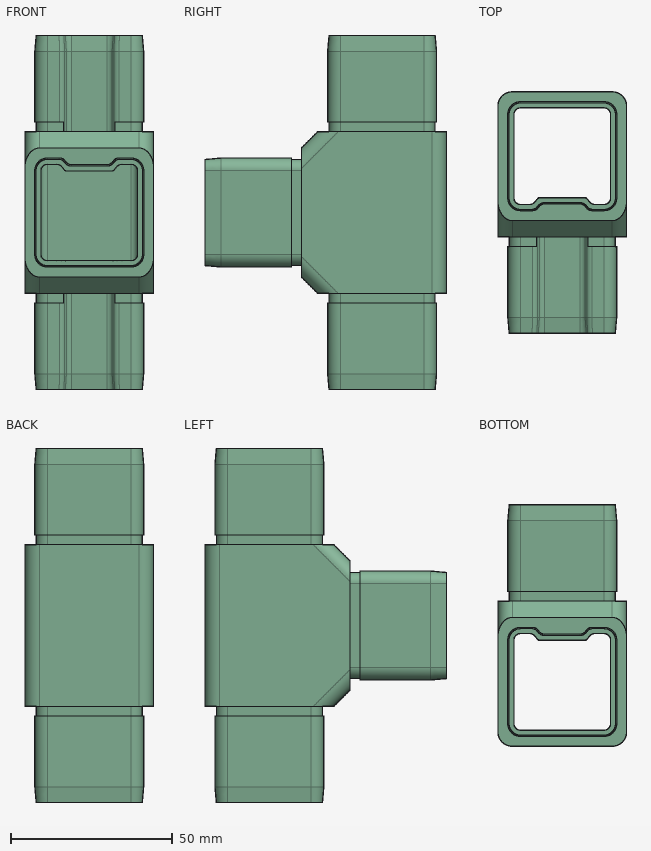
import cadquery as cq
import math


body_width = 40.0
run_half_length = 55.0
plug_length = 29.9
body_chamfer = 5.1
body_edge_radius = 4.5

plug_width = 33.9
plug_corner_radius = 4.0
wall = 2.0
tip_length = 5.0
tip_inset = 0.4
neck_length = 3.0
neck_inset = 0.4

groove_depth = 2.1
groove_mouth_half = 8.2
groove_floor_half = 6.5
groove_blend = 2.0

body_half_width = body_width / 2
body_half_height = run_half_length - plug_length
body_front = body_half_width + body_chamfer
groove_slope = math.atan2(groove_depth, groove_mouth_half - groove_floor_half)


def rounded_wire(plane, corners):
    """Closed outline through (x, y, radius) corners, each blended by an arc unless its radius is 0."""
    outline = cq.Workplane(plane)
    for i, (x, y, radius) in enumerate(corners):
        here = cq.Vector(x, y)
        before = (cq.Vector(*corners[i - 1][:2]) - here).normalized()
        after = (cq.Vector(*corners[(i + 1) % len(corners)][:2]) - here).normalized()
        half_angle = before.getAngle(after) / 2
        setback = radius / math.tan(half_angle)
        to_arc = radius / math.sin(half_angle) - radius
        start = here + before * setback
        middle = here + (before + after).normalized() * to_arc
        end = here + after * setback
        outline = outline.moveTo(start.x, start.y) if i == 0 else outline.lineTo(start.x, start.y)
        if radius > 0:
            outline = outline.threePointArc((middle.x, middle.y), (end.x, end.y))
    return outline.close()


def plug_outline(plane, inset, floor_radius):
    """Grooved square outline, offset inward by inset. The groove is on the plane's -y side."""
    half = plug_width / 2 - inset
    corner = plug_corner_radius - inset
    shift = inset * math.tan(groove_slope / 2)
    mouth = groove_mouth_half + shift
    floor = groove_floor_half + shift
    floor_y = groove_depth - half
    return rounded_wire(plane, [
        (half, half, corner),
        (-half, half, corner),
        (-half, -half, corner),
        (-mouth, -half, groove_blend),
        (-floor, floor_y, floor_radius),
        (floor, floor_y, floor_radius),
        (mouth, -half, groove_blend),
        (half, -half, corner),
    ])


def shifted(plane, distance):
    """The plane moved along its normal."""
    return cq.Plane(plane.origin + plane.zDir * distance, plane.xDir, plane.zDir)


def plug_shell(plane, base):
    """Outside of a plug standing on the body face at distance base from the part centre."""
    root = shifted(plane, base)
    tip_start = shifted(root, plug_length - tip_length)
    tip_end = shifted(root, plug_length)
    shank = plug_outline(root, 0, groove_blend).extrude(plug_length - tip_length)
    neck_width = plug_width - 2 * neck_inset
    neck_band = cq.Workplane(root).rect(body_width, body_width).extrude(neck_length)
    neck_core = (
        cq.Workplane(root).rect(neck_width, neck_width).extrude(neck_length)
        .edges(cq.selectors.ParallelDirSelector(plane.zDir)).fillet(plug_corner_radius - neck_inset)
    )
    tip_base = plug_outline(tip_start, 0, groove_blend)
    tip_rim = plug_outline(tip_end, tip_inset, groove_blend + tip_inset)
    tip = cq.Solid.makeLoft([tip_base.val(), tip_rim.val()], True)
    return shank.cut(neck_band.cut(neck_core)).union(cq.Workplane(tip))


def plug_bore(plane, base):
    """Cavity of a plug, from the part centre to the open end."""
    return plug_outline(plane, wall, 0).extrude(base + plug_length)


def connector_body():
    """Block with its two -Y edges chamfered and its back and chamfer side edges rounded."""
    block = (
        cq.Workplane("YZ")
        .moveTo(body_half_width, -body_half_height)
        .lineTo(body_half_width, body_half_height)
        .lineTo(-body_half_width, body_half_height)
        .lineTo(-body_front, body_half_height - body_chamfer)
        .lineTo(-body_front, body_chamfer - body_half_height)
        .lineTo(-body_half_width, -body_half_height)
        .close()
        .extrude(body_half_width, both=True)
    )
    block = block.edges("|Z and >Y").fillet(body_edge_radius)
    for direction in [(0, 1, 1), (0, 1, -1)]:
        chamfer_sides = cq.selectors.ParallelDirSelector(cq.Vector(direction))
        block = block.edges(chamfer_sides).fillet(body_edge_radius)
    return block


center = (0, 0, 0)
run_plane = cq.Plane(center, (1, 0, 0), (0, 0, 1))
branch_plane = cq.Plane(center, (-1, 0, 0), (0, -1, 0))

upper_shell = plug_shell(run_plane, body_half_height)
upper_bore = plug_bore(run_plane, body_half_height)

outside = (
    connector_body()
    .union(upper_shell)
    .union(upper_shell.mirror("XY"))
    .union(plug_shell(branch_plane, body_front))
)
result = (
    outside
    .cut(upper_bore)
    .cut(upper_bore.mirror("XY"))
    .cut(plug_bore(branch_plane, body_front))
)